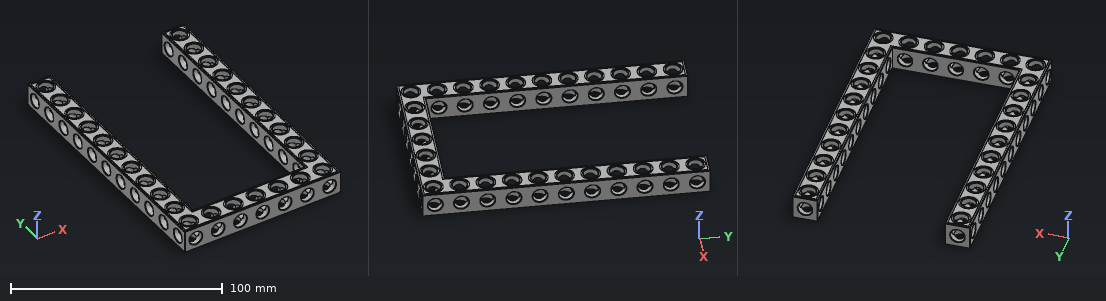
import cadquery as cq

length = 137.5
holes_long = 11
holes_wide = 7
hole_diameter = 7.0
collar_diameter = 9.2
chamfer = 0.3
rim_width = 1.1
recess_depth = 0.2

pitch = length / holes_long
width = holes_wide * pitch
half_height = pitch / 2
columns = [(i - (holes_wide - 1) / 2) * pitch for i in range(holes_wide)]
rows = [(i - (holes_long - 1) / 2) * pitch for i in range(holes_long)]
base_places = [(x, rows[0]) for x in columns]
arm_places = [(x, y) for x in (columns[0], columns[-1]) for y in rows[1:]]
vertical_places = base_places + arm_places


def u_plate(inset, bottom, height):
    """U-shaped plate, open toward +Y, with its outline moved inward by inset."""
    outer_x = width / 2 - inset
    inner_x = width / 2 - pitch + inset
    closed_y = -length / 2 + inset
    inner_y = -length / 2 + pitch - inset
    open_y = length / 2 - inset
    outline = [
        (-outer_x, closed_y),
        (outer_x, closed_y),
        (outer_x, open_y),
        (inner_x, open_y),
        (inner_x, inner_y),
        (-inner_x, inner_y),
        (-inner_x, open_y),
        (-outer_x, open_y),
    ]
    return cq.Workplane("XY").workplane(offset=bottom).polyline(outline).close().extrude(height)


def beam_body():
    """Square-section U with every edge chamfered except the two inner corners."""
    body = u_plate(0, -half_height, pitch)
    inner_corner_y = -length / 2 + pitch
    outer_uprights = body.edges("|Z").filter(lambda edge: abs(edge.Center().y - inner_corner_y) > chamfer)
    flat_edges = body.edges("#Z")
    return body.newObject(outer_uprights.vals() + flat_edges.vals()).chamfer(chamfer)


def top_recess():
    """Shallow field inside the rim, sparing a collar around each vertical hole."""
    floor = half_height - recess_depth
    collars = (
        cq.Workplane("XY").workplane(offset=floor).pushPoints(vertical_places)
        .circle(collar_diameter / 2).extrude(recess_depth)
    )
    return u_plate(rim_width, floor, recess_depth).cut(collars)


def hole_cutter(depth):
    """Round cutter centred on the origin along Z, flaring at both ends."""
    radius = hole_diameter / 2
    mouth = radius + chamfer
    end = depth / 2
    profile = [
        (0, -end),
        (mouth, -end),
        (radius, -end + chamfer),
        (radius, end - chamfer),
        (mouth, end),
        (0, end),
    ]
    return cq.Workplane("XZ").polyline(profile).close().revolve(360, (0, 0), (0, 1))


def copies(cutter, places):
    """One copy of the cutter, moved to each (x, y) place at mid-height."""
    solid = cutter.val()
    moved = [solid.translate(cq.Vector(x, y, 0)) for x, y in places]
    return cq.Workplane("XY").newObject([cq.Compound.makeCompound(moved)])


def vertical_holes():
    """Holes along Z, around the whole U."""
    return copies(hole_cutter(pitch), vertical_places)


def holes_along_x():
    """Holes across both arms, and one bore running the whole width inside the base."""
    across_arms = copies(hole_cutter(pitch).rotate((0, 0, 0), (0, 1, 0), 90), arm_places)
    base_bore = copies(hole_cutter(width).rotate((0, 0, 0), (0, 1, 0), 90), [(0, rows[0])])
    return across_arms.add(base_bore).combine()


def holes_along_y():
    """Holes across the base, and one bore running the whole length inside each arm."""
    across_base = copies(hole_cutter(pitch).rotate((0, 0, 0), (1, 0, 0), 90), base_places[1:-1])
    arm_bores = copies(
        hole_cutter(length).rotate((0, 0, 0), (1, 0, 0), 90), [(columns[0], 0), (columns[-1], 0)]
    )
    return across_base.add(arm_bores).combine()


result = beam_body().cut(top_recess())
for holes in (vertical_holes(), holes_along_x(), holes_along_y()):
    result = result.cut(holes)